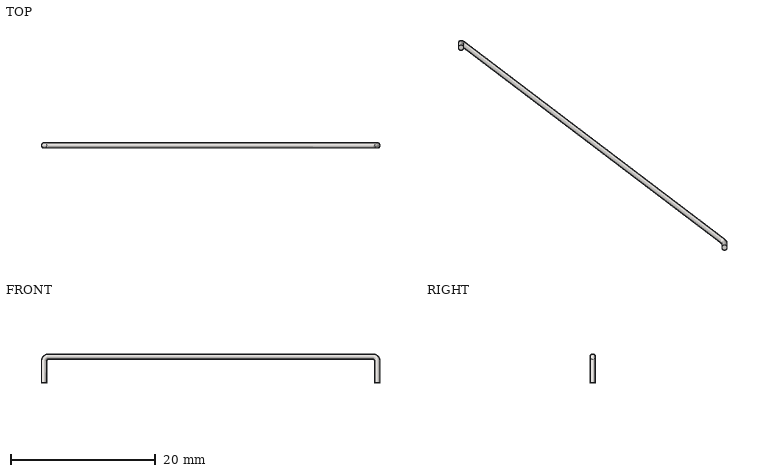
import cadquery as cq

wire_diameter = 0.75
leg_spacing = 46.0
overall_height = 3.975
bend_radius = 0.6

leg_x = leg_spacing / 2
leg_tip_z = 0.0
span_z = leg_tip_z + overall_height - wire_diameter / 2
bend_start_z = span_z - bend_radius
bend_end_x = leg_x - bend_radius


def wire_axis():
    """Centre line in the XZ plane: leg, bend, span, bend, leg."""
    return (
        cq.Workplane("XZ")
        .moveTo(-leg_x, leg_tip_z)
        .lineTo(-leg_x, bend_start_z)
        .radiusArc((-bend_end_x, span_z), bend_radius)
        .lineTo(bend_end_x, span_z)
        .radiusArc((leg_x, bend_start_z), bend_radius)
        .lineTo(leg_x, leg_tip_z)
    )


def wire_section():
    """Round section at the tip of the -X leg."""
    return (
        cq.Workplane("XY", origin=(-leg_x, 0, leg_tip_z))
        .circle(wire_diameter / 2)
    )


result = wire_section().sweep(wire_axis())